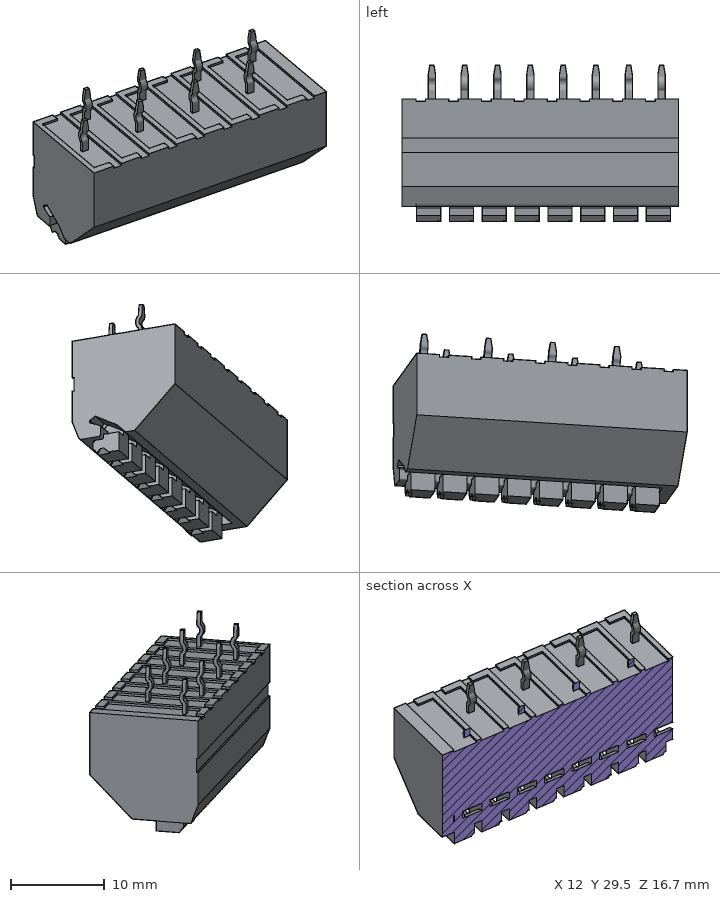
import cadquery as cq
import math

POLES = 8
PITCH = 3.5
PLATE_WIDTH = 1.5
LENGTH = POLES * PITCH + PLATE_WIDTH
Y_FRONT = -LENGTH / 2
Y_PLATE = Y_FRONT + POLES * PITCH

WIDTH = 12.0
HEIGHT = 11.5
FOOT_X = 0.82
FOOT_SLOPE_Z = 2.15
FOOT_ROUND = 0.43
BELLY_X = 7.3
BELLY_SLOPE_Z = 4.6
GROOVE_BOTTOM = 5.75
GROOVE_HEIGHT = 1.55
GROOVE_DEPTH = 0.2

CHANNEL_MOUTH_X = 6.2
CHANNEL_KNEE = (5.25, 0.97)
CHANNEL_APEX = (2.72, 2.4)
NOSE_X = 2.05
NOSE_TOP = 2.0
NOSE_BOTTOM = 1.78
CHANNEL_WALL_X = 3.3
CHANNEL_LIP_Z = 1.2
LIP_ROUND = 0.2

LEVER_WIDTH = 2.6
LEVER_OFFSET = 0.05
LEVER_DROP = 1.6
LEVER_RIGHT_X = 5.07
LEVER_TOP = 0.53
LEVER_CHAMFER_WIDTH = 0.48
LEVER_CHAMFER_HEIGHT = 0.65
HOOK_STEP = 0.13
TONGUE_INSET = 1.2
TONGUE_END_TOP_X = 3.25
TONGUE_END_BOTTOM_X = 2.66
TIP_INSET = 1.5
TIP_X = 2.5
NOTCH_LEFT = 2.38
NOTCH_WIDTH = 1.5
NOTCH_HEIGHT = 0.55
NOTCH_DEPTH = 0.4

RELIEF_DEPTH = 0.25
RIM_ARM = 0.9
RIM_BAR = 0.6
RIM_LENGTH = 2.5

PIN_ROWS = (2.3, 7.3)
PIN_OFFSET = 1.69
PIN_WIDTH = 0.8
PIN_THICK = 0.4
PIN_HEIGHT = 3.6
PIN_TIP_WIDTH = 0.46
PIN_TIP_LENGTH = 1.02
KINK_Z = 1.59
KINK_ANGLE = math.radians(47.5)
KINK_INNER = 0.57
KINK_OUTER = KINK_INNER + PIN_THICK
BEND_OUTER = 0.45
BEND_INNER = BEND_OUTER - PIN_THICK
ARC_MIDDLES = (1, 3, 5)
PIN_ROOT = 0.5


def pole_start(pole):
    """+Y edge of a pole; pole 0 lies against the end plate."""
    return Y_PLATE - pole * PITCH


def extrude_section(points, y_low, y_high):
    """Prism of an XZ outline between two Y positions."""
    section = cq.Workplane("XZ", origin=(0, y_high, 0)).polyline(points).close()
    return section.extrude(y_high - y_low)


def box(x_low, x_high, y_low, y_high, z_low, z_high):
    size = (x_high - x_low, y_high - y_low, z_high - z_low)
    return cq.Workplane("XY", origin=(x_low, y_low, z_low)).box(*size, centered=False)


def make_housing():
    outline = [
        (FOOT_X, 0),
        (BELLY_X, 0),
        (WIDTH, BELLY_SLOPE_Z),
        (WIDTH, HEIGHT),
        (0, HEIGHT),
        (0, FOOT_SLOPE_Z),
    ]
    channel_outline = [
        (CHANNEL_MOUTH_X, 0),
        CHANNEL_KNEE,
        CHANNEL_APEX,
        (NOSE_X, NOSE_TOP),
        (NOSE_X, NOSE_BOTTOM),
        (CHANNEL_WALL_X, CHANNEL_LIP_Z),
        (CHANNEL_WALL_X, 0),
    ]
    plate = extrude_section(outline, Y_PLATE, -Y_FRONT)
    poles = extrude_section(outline, Y_FRONT, Y_PLATE)
    poles = poles.cut(extrude_section(channel_outline, Y_FRONT, Y_PLATE))

    y_middle = (Y_FRONT + Y_PLATE) / 2
    foot_edge = cq.selectors.NearestToPointSelector((FOOT_X, y_middle, 0))
    lip_edge = cq.selectors.NearestToPointSelector((CHANNEL_WALL_X, y_middle, 0))
    poles = poles.edges("|Y").edges(foot_edge).fillet(FOOT_ROUND)
    poles = poles.edges("|Y").edges(lip_edge).fillet(LIP_ROUND)

    groove_top = GROOVE_BOTTOM + GROOVE_HEIGHT
    groove = box(0, GROOVE_DEPTH, Y_FRONT, -Y_FRONT, GROOVE_BOTTOM, groove_top)
    return plate.union(poles).cut(groove)


def make_relief(pole):
    """Volume removed from the top of one pole, leaving the rim."""
    y_high = pole_start(pole)
    y_low = y_high - PITCH
    floor = HEIGHT - RELIEF_DEPTH
    crossing = box(0, WIDTH, y_low + RIM_LENGTH, y_high, floor, HEIGHT)
    pocket = box(RIM_ARM, WIDTH - RIM_ARM, y_low + RIM_BAR, y_high, floor, HEIGHT)
    return crossing.union(pocket)


def make_lever(pole):
    y_high = pole_start(pole) - LEVER_OFFSET
    y_low = y_high - LEVER_WIDTH
    body_outline = [
        (LEVER_RIGHT_X, LEVER_TOP),
        (CHANNEL_WALL_X - LIP_ROUND, LEVER_TOP),
        (CHANNEL_WALL_X - LIP_ROUND, 0),
        (NOSE_X + HOOK_STEP, 0),
        (NOSE_X + HOOK_STEP, -HOOK_STEP),
        (NOSE_X, -HOOK_STEP),
        (NOSE_X, LEVER_CHAMFER_HEIGHT - LEVER_DROP),
        (NOSE_X + LEVER_CHAMFER_WIDTH, -LEVER_DROP),
        (LEVER_RIGHT_X, -LEVER_DROP),
    ]
    ceiling_slope = (CHANNEL_APEX[1] - CHANNEL_KNEE[1]) / (CHANNEL_APEX[0] - CHANNEL_KNEE[0])
    lip_slope = (CHANNEL_LIP_Z - NOSE_BOTTOM) / (CHANNEL_WALL_X - NOSE_X)

    def ceiling_point(x):
        return (x, CHANNEL_KNEE[1] + ceiling_slope * (x - CHANNEL_KNEE[0]))

    def lip_point(x):
        return (x, NOSE_BOTTOM + lip_slope * (x - NOSE_X))

    tongue_outline = [
        (LEVER_RIGHT_X, 0),
        ceiling_point(LEVER_RIGHT_X),
        ceiling_point(TONGUE_END_TOP_X),
        lip_point(TONGUE_END_BOTTOM_X),
        (CHANNEL_WALL_X, CHANNEL_LIP_Z),
        (CHANNEL_WALL_X, 0),
    ]
    body = extrude_section(body_outline, y_low, y_high)
    tongue = extrude_section(tongue_outline, y_low + TONGUE_INSET, y_high)
    tip = box(TIP_X, CHANNEL_WALL_X, y_low + TIP_INSET, y_high, CHANNEL_LIP_Z, CHANNEL_APEX[1])
    return body.cut(make_notch(y_low)).union(tongue).union(tip)


def make_notch(y_face):
    """Trapezoidal notch under the -Y end of a lever, with a sloped roof."""
    roof_z = NOTCH_HEIGHT - LEVER_DROP
    trapezoid = [
        (NOTCH_LEFT, -LEVER_DROP),
        (NOTCH_LEFT + NOTCH_HEIGHT, roof_z),
        (NOTCH_LEFT + NOTCH_WIDTH - NOTCH_HEIGHT, roof_z),
        (NOTCH_LEFT + NOTCH_WIDTH, -LEVER_DROP),
    ]
    prism = extrude_section(trapezoid, y_face, y_face + NOTCH_DEPTH)
    wedge = (
        cq.Workplane("YZ", origin=(NOTCH_LEFT, 0, 0))
        .moveTo(y_face, -LEVER_DROP)
        .lineTo(y_face + NOTCH_DEPTH, -LEVER_DROP)
        .lineTo(y_face, roof_z)
        .close()
        .extrude(NOTCH_WIDTH)
    )
    return prism.intersect(wedge)


def make_pin(pole):
    """Flat pin with a kink toward the middle between the two rows."""
    row = pole % len(PIN_ROWS)
    side = 1 if row == 0 else -1
    y_middle = pole_start(pole) - PIN_OFFSET
    sine = math.sin(KINK_ANGLE)
    cosine = math.cos(KINK_ANGLE)
    sine_half = math.sin(KINK_ANGLE / 2)
    cosine_half = math.cos(KINK_ANGLE / 2)
    bend_z = (KINK_INNER + BEND_OUTER) * sine
    kink_x = BEND_OUTER - (KINK_INNER + BEND_OUTER) * cosine

    def face(kink_radius, bend_radius, direction):
        """Points of one broad face; direction 1 runs upward, -1 downward."""

        def bend_point(sin_a, cos_a, sign):
            return (BEND_OUTER - bend_radius * cos_a, sign * (bend_z - bend_radius * sin_a))

        return [
            bend_point(0, 1, -direction),
            bend_point(sine_half, cosine_half, -direction),
            bend_point(sine, cosine, -direction),
            (kink_x + kink_radius, 0),
            bend_point(sine, cosine, direction),
            bend_point(sine_half, cosine_half, direction),
            bend_point(0, 1, direction),
        ]

    def place(point):
        x, z = point
        return (PIN_ROWS[row] + side * (x - PIN_THICK / 2), HEIGHT + KINK_Z + z)

    concave = [place(p) for p in face(KINK_INNER, BEND_OUTER, 1)]
    convex = [place(p) for p in face(KINK_OUTER, BEND_INNER, -1)]
    root_z = HEIGHT - PIN_ROOT
    tip_z = HEIGHT + PIN_HEIGHT

    outline = cq.Workplane("XZ", origin=(0, y_middle + PIN_WIDTH / 2, 0))
    outline = outline.moveTo(concave[0][0], root_z).lineTo(*concave[0])
    for middle in ARC_MIDDLES:
        outline = outline.threePointArc(concave[middle], concave[middle + 1])
    outline = outline.lineTo(concave[0][0], tip_z).lineTo(convex[0][0], tip_z).lineTo(*convex[0])
    for middle in ARC_MIDDLES:
        outline = outline.threePointArc(convex[middle], convex[middle + 1])
    strip = outline.lineTo(convex[0][0], root_z).close().extrude(PIN_WIDTH)

    taper_z = tip_z - PIN_TIP_LENGTH
    blade = (
        cq.Workplane("YZ")
        .polyline([
            (y_middle - PIN_WIDTH / 2, root_z),
            (y_middle + PIN_WIDTH / 2, root_z),
            (y_middle + PIN_WIDTH / 2, taper_z),
            (y_middle + PIN_TIP_WIDTH / 2, tip_z),
            (y_middle - PIN_TIP_WIDTH / 2, tip_z),
            (y_middle - PIN_WIDTH / 2, taper_z),
        ])
        .close()
        .extrude(WIDTH)
    )
    return strip.intersect(blade)


result = make_housing()
for pole_index in range(POLES):
    result = result.cut(make_relief(pole_index))
    result = result.union(make_lever(pole_index))
    result = result.union(make_pin(pole_index))